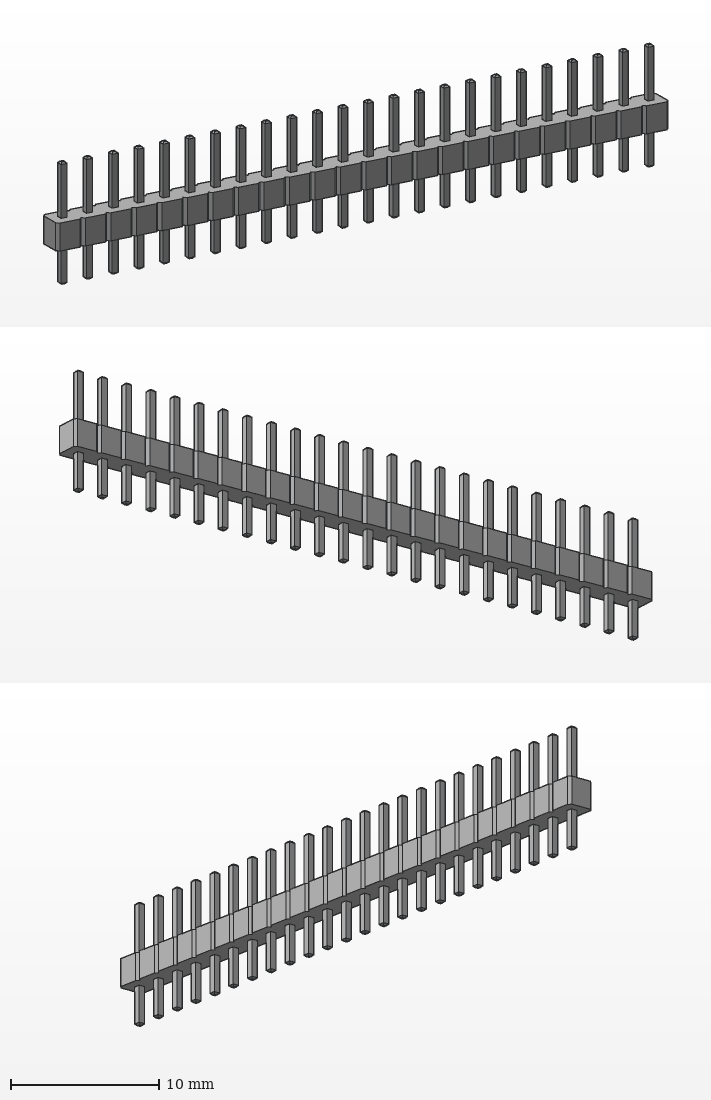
import cadquery as cq

row_length = 48.0
pin_count = 24
pitch = row_length / pin_count

housing_width = 2.0
housing_height = 2.0
corner_chamfer = 0.2

pin_width = 0.5
pin_above = 4.0
pin_below = 2.8
tip_chamfer = 0.125

pin_length = pin_below + housing_height + pin_above
first_pin_y = (pitch - row_length) / 2
pin_positions = [(0, first_pin_y + index * pitch) for index in range(pin_count)]


def make_block():
    """One housing block with its four vertical corners chamfered."""
    return (
        cq.Workplane("XY")
        .box(housing_width, pitch, housing_height, centered=(True, True, False))
        .edges("|Z")
        .chamfer(corner_chamfer)
    )


def make_pin():
    """One square pin, bevelled on all sides at both tips."""
    return (
        cq.Workplane("XY")
        .box(pin_width, pin_width, pin_length, centered=(True, True, False))
        .faces("<Z or >Z")
        .chamfer(tip_chamfer)
        .translate((0, 0, -pin_below))
    )


def repeat_along_row(shape):
    """Copies of the shape at every pin position, fused together."""
    return cq.Workplane("XY").pushPoints(pin_positions).eachpoint(
        lambda location: shape.val().located(location), combine=True
    )


result = repeat_along_row(make_block().union(make_pin()))